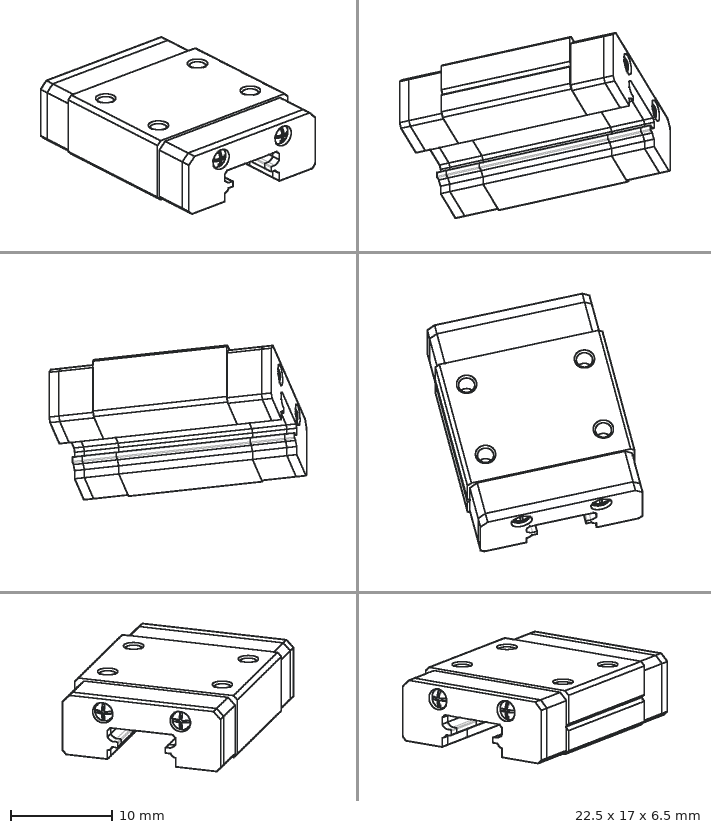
import cadquery as cq
import math

overall_length = 22.5
overall_width = 17.0
overall_height = 6.5

block_length = 13.55
seal_thickness = 1.0
cap_length = (overall_length - block_length) / 2 - seal_thickness

block_chamfer = 0.4
end_inset = 0.25
end_top_chamfer = 0.75
end_bottom_chamfer = block_chamfer

slot_half_width = 3.55
slot_height = 3.33
slot_corner_chamfer = 0.32
rib_half_gap = 2.48
rib_top = 1.91
rib_bottom = 1.33
rib_tip_fillet = 0.1
upper_arc_start_height = 2.35
upper_arc_width = 0.58
upper_arc_middle = (0.25, 2.07)
lower_arc_start_height = 0.92
lower_arc_width = 0.52
lower_arc_middle = (0.3, 1.05)

groove_depth = 0.34
groove_height = 2.81

hole_pitch_x = 8.0
hole_pitch_y = 12.0
hole_diameter = 1.6
hole_mouth_diameter = 2.0
hole_depth = 2.5
hole_point_angle = 118.0

screw_pitch = 8.1
screw_height = 4.82
screw_hole_diameter = 2.1
screw_head_diameter = 1.95
dome_rim_recess = 0.43
dome_height = 0.4
cross_width = 0.25
cross_depth = 0.27


def outer_section(width, height, top_chamfer, bottom_chamfer, start_x):
    """Closed chamfered rectangle in the YZ plane, standing on Z = 0."""
    half = width / 2
    return (
        cq.Workplane("YZ", origin=(start_x, 0, 0))
        .moveTo(-half + bottom_chamfer, 0)
        .lineTo(half - bottom_chamfer, 0)
        .lineTo(half, bottom_chamfer)
        .lineTo(half, height - top_chamfer)
        .lineTo(half - top_chamfer, height)
        .lineTo(-half + top_chamfer, height)
        .lineTo(-half, height - top_chamfer)
        .lineTo(-half, bottom_chamfer)
        .close()
    )


def make_rail_slot():
    """Rail slot along the full length, narrowed by the two ribs."""
    wall = slot_half_width
    half_slot = (
        cq.Workplane("YZ", origin=(-overall_length / 2, 0, 0))
        .moveTo(0, 0)
        .lineTo(wall, 0)
        .lineTo(wall, lower_arc_start_height)
        .threePointArc(
            (wall - lower_arc_middle[0], lower_arc_middle[1]),
            (wall - lower_arc_width, rib_bottom),
        )
        .lineTo(rib_half_gap, rib_bottom)
        .lineTo(rib_half_gap, rib_top)
        .lineTo(wall - upper_arc_width, rib_top)
        .threePointArc(
            (wall - upper_arc_middle[0], upper_arc_middle[1]),
            (wall, upper_arc_start_height),
        )
        .lineTo(wall, slot_height - slot_corner_chamfer)
        .lineTo(wall - slot_corner_chamfer, slot_height)
        .lineTo(0, slot_height)
        .close()
        .extrude(overall_length)
    )
    margin = rib_tip_fillet / 2
    rib_tip_edges = cq.selectors.BoxSelector(
        (-overall_length, rib_half_gap - margin, rib_bottom - margin),
        (overall_length, rib_half_gap + margin, rib_top + margin),
    )
    half_slot = half_slot.edges("|X").edges(rib_tip_edges).fillet(rib_tip_fillet)
    return half_slot.union(half_slot.mirror("XZ"))


rail_slot = make_rail_slot()


def make_mounting_hole():
    """Blind hole with a chamfered mouth and a drill point, opening at Z = overall_height."""
    mouth_depth = (hole_mouth_diameter - hole_diameter) / 2
    point_radius = hole_diameter / 2
    drill = cq.Workplane("XY").circle(point_radius).extrude(-hole_depth)
    point_depth = point_radius / math.tan(math.radians(hole_point_angle / 2))
    point = cq.Solid.makeCone(
        point_radius, 0, point_depth, pnt=cq.Vector(0, 0, -hole_depth), dir=cq.Vector(0, 0, -1)
    )
    mouth = cq.Solid.makeCone(
        hole_mouth_diameter / 2, point_radius, mouth_depth, dir=cq.Vector(0, 0, -1)
    )
    hole = drill.union(cq.Workplane(point)).union(cq.Workplane(mouth))
    return hole.translate((0, 0, overall_height))


def make_block():
    """Middle carriage block with its groove and four mounting holes."""
    start_x = -block_length / 2
    half_width = overall_width / 2
    section = outer_section(overall_width, overall_height, block_chamfer, block_chamfer, start_x)
    body = section.extrude(block_length)
    groove = (
        cq.Workplane("YZ", origin=(start_x, 0, 0))
        .moveTo(half_width - groove_depth, groove_height)
        .lineTo(half_width, groove_height + groove_depth)
        .lineTo(half_width, groove_height - groove_depth)
        .close()
        .extrude(block_length)
    )
    body = body.cut(rail_slot).cut(groove)
    hole = make_mounting_hole()
    for side_x in (-1, 1):
        for side_y in (-1, 1):
            body = body.cut(hole.translate((side_x * hole_pitch_x / 2, side_y * hole_pitch_y / 2, 0)))
    return body


def make_end_plate(start_x, thickness):
    """Slotted plate with the smaller outer section shared by the caps and seals."""
    width = overall_width - 2 * end_inset
    height = overall_height - end_inset
    section = outer_section(width, height, end_top_chamfer, end_bottom_chamfer, start_x)
    return section.extrude(thickness).cut(rail_slot)


def make_cap():
    """End cap on the -X end of the block."""
    return make_end_plate(-block_length / 2 - cap_length, cap_length)


def make_seal():
    """End seal on the -X cap, with a through hole for each screw."""
    holes = (
        cq.Workplane("YZ", origin=(-overall_length / 2, 0, screw_height))
        .pushPoints([(-screw_pitch / 2, 0), (screw_pitch / 2, 0)])
        .circle(screw_hole_diameter / 2)
        .extrude(seal_thickness)
    )
    return make_end_plate(-overall_length / 2, seal_thickness).cut(holes)


def make_screw(y):
    """Domed cross-slot screw head resting on the -X cap, built from the seal face at X = 0."""
    radius = screw_head_diameter / 2
    rim_x = dome_rim_recess
    apex_x = rim_x - dome_height
    sphere_radius = (radius**2 + dome_height**2) / (2 * dome_height)
    sphere = cq.Workplane("XY").sphere(sphere_radius).translate((apex_x + sphere_radius, 0, 0))
    head = cq.Workplane("YZ", origin=(apex_x, 0, 0)).circle(radius).extrude(seal_thickness - apex_x)
    head = head.intersect(sphere)
    for slot_y, slot_z in [(screw_head_diameter, cross_width), (cross_width, screw_head_diameter)]:
        slot = cq.Workplane("YZ", origin=(apex_x, 0, 0)).rect(slot_y, slot_z).extrude(cross_depth)
        head = head.cut(slot)
    return head.translate((-overall_length / 2, y, screw_height))


block = make_block()
cap = make_cap()
seal = make_seal()
screws = [make_screw(side * screw_pitch / 2) for side in (-1, 1)]

bodies = [block.val()]
for end_body in [cap, seal, *screws]:
    bodies.append(end_body.val())
    bodies.append(end_body.mirror("YZ").val())

result = cq.Compound.makeCompound(bodies)